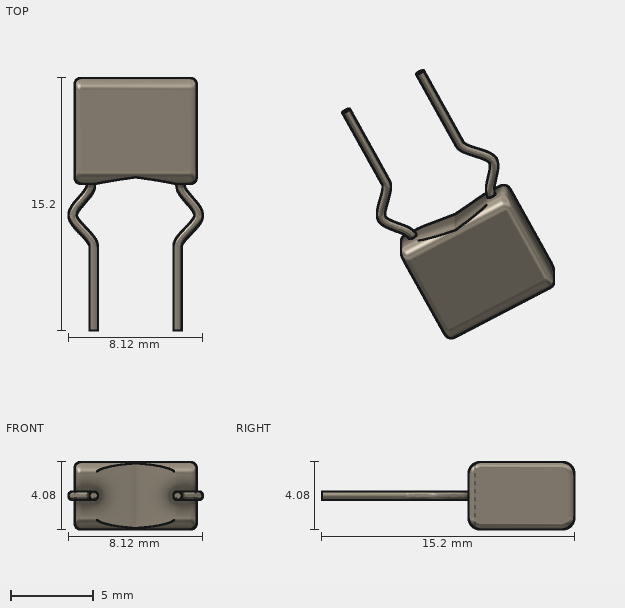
import cadquery as cq

overall_length = 15.24
overall_width = 8.12

housing_width = 7.38
housing_length = 6.4
housing_height = 4.08
long_edge_radius = 0.75
end_edge_radius = 0.4

recess_half_width = 2.42
recess_depth = 0.4
recess_bulge = 0.023

lead_diameter = 0.52
stub_offset = 2.7
tail_offset = 2.53
stub_length = 0.08
tail_length = 5.07
kink_reach = 1.81
bend_handle = 0.56

housing_back = overall_length / 2
housing_front = housing_back - housing_length
lead_tip = -overall_length / 2
kink_start = housing_front - stub_length
kink_peak = kink_start - kink_reach
kink_end = lead_tip + tail_length
peak_offset = (overall_width - lead_diameter) / 2


def make_recess_cutter():
    """Prism with a bowed V outline that hollows the front face of the housing."""
    apex_y = housing_front + recess_depth
    middle_x = recess_half_width / 2
    middle_y = housing_front + recess_depth / 2 + recess_bulge
    return (
        cq.Workplane("XY")
        .workplane(offset=-housing_height / 2)
        .moveTo(-recess_half_width, housing_front)
        .threePointArc((-middle_x, middle_y), (0, apex_y))
        .threePointArc((middle_x, middle_y), (recess_half_width, housing_front))
        .close()
        .extrude(housing_height)
    )


def make_housing():
    """Rounded block with the recess in its front face."""
    block = (
        cq.Workplane("XY")
        .box(housing_width, housing_length, housing_height)
        .translate((0, (housing_front + housing_back) / 2, 0))
        .edges("|X")
        .fillet(long_edge_radius)
        .faces("<X or >X")
        .edges()
        .fillet(end_edge_radius)
    )
    return block.cut(make_recess_cutter())


def bend_points(start_x, start_y, end_x, end_y):
    """Control points of an S-bend toward -Y that starts and ends parallel to Y."""
    return [
        (start_x, start_y),
        (start_x, start_y - bend_handle),
        (end_x, end_y + bend_handle),
        (end_x, end_y),
    ]


def make_lead(side):
    """Round wire butting against the housing; side is -1 for the -X lead and +1 for the +X lead."""
    stub_x = side * stub_offset
    peak_x = side * peak_offset
    tail_x = side * tail_offset
    path = (
        cq.Workplane("XY")
        .moveTo(stub_x, housing_front)
        .lineTo(stub_x, kink_start)
        .bezier(bend_points(stub_x, kink_start, peak_x, kink_peak))
        .bezier(bend_points(peak_x, kink_peak, tail_x, kink_end))
        .lineTo(tail_x, lead_tip)
    )
    return (
        cq.Workplane("XZ", origin=(stub_x, housing_front, 0))
        .circle(lead_diameter / 2)
        .sweep(path)
    )


housing = make_housing()
leads = [make_lead(side) for side in (-1, 1)]

result = cq.Compound.makeCompound([housing.val(), *[lead.val() for lead in leads]])